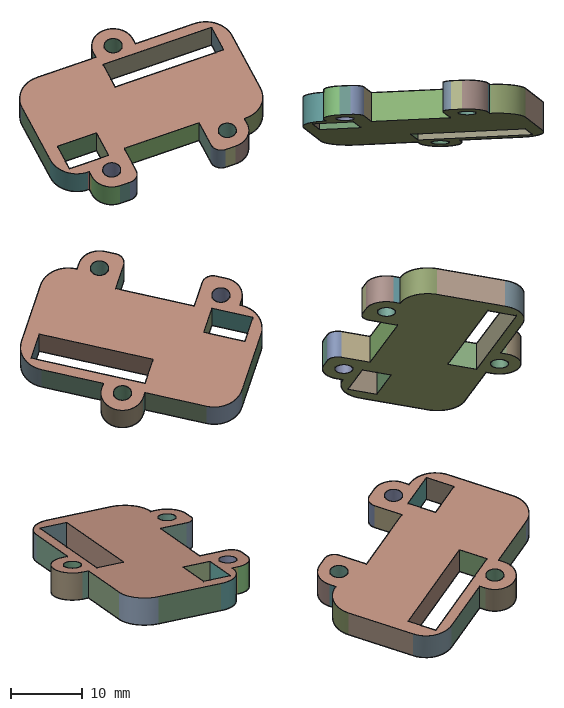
import cadquery as cq

plate_width = 18.0
plate_length = 31.8
thickness = 4.1
corner_radius = 4.0
mid_y = plate_length / 2

hole_diameter = 2.5
lug_radius = 3.0
left_hole_x = -0.9
right_hole_x = 18.95
right_hole_offset = 8.75
lug_inner_radius = 1.55

notch_x = 16.2
notch_length = 11.32

window_width = 4.25
long_window_length = 16.4
long_window_x = 1.55
long_window_y = 13.32
short_window_length = 5.9
short_window_x = 12.18
short_window_y = 1.85


def block(x, y, width, length):
    """Full-thickness box with its lower left corner at (x, y)."""
    return cq.Workplane("XY").box(width, length, thickness, centered=False).translate((x, y, 0))


def left_lug():
    """Half-round ear that runs straight into the plate."""
    ear = cq.Workplane("XY").center(left_hole_x, mid_y).circle(lug_radius).extrude(thickness)
    web = block(left_hole_x, mid_y - lug_radius, corner_radius - left_hole_x, 2 * lug_radius)
    return ear.union(web)


def upper_right_lug():
    """Ear with a large outer round and a smaller round beside the notch."""
    hole_y = mid_y + right_hole_offset
    notch_edge_y = mid_y + notch_length / 2
    right_x = right_hole_x + lug_radius
    top_y = hole_y + lug_radius
    lug = block(notch_x, notch_edge_y, right_x - notch_x, top_y - notch_edge_y)
    lug = lug.edges("|Z and >X and >Y").fillet(lug_radius)
    return lug.edges("|Z").edges(cq.selectors.NearestToPointSelector(
        (right_x, notch_edge_y, thickness / 2))).fillet(lug_inner_radius)


plate = block(0, 0, plate_width, plate_length).edges("|Z").fillet(corner_radius)
plate = plate.cut(block(notch_x, mid_y - notch_length / 2, plate_width - notch_x, notch_length))

upper_lug = upper_right_lug()
lower_lug = upper_lug.mirror("XZ", (0, mid_y, 0))
body = plate.union(left_lug()).union(upper_lug).union(lower_lug)

hole_centers = [
    (left_hole_x, mid_y),
    (right_hole_x, mid_y + right_hole_offset),
    (right_hole_x, mid_y - right_hole_offset),
]
holes = cq.Workplane("XY").pushPoints(hole_centers).circle(hole_diameter / 2).extrude(thickness)

long_window = block(long_window_x, long_window_y, window_width, long_window_length)
short_window = block(short_window_x, short_window_y, window_width, short_window_length)

result = body.cut(holes).cut(long_window).cut(short_window)